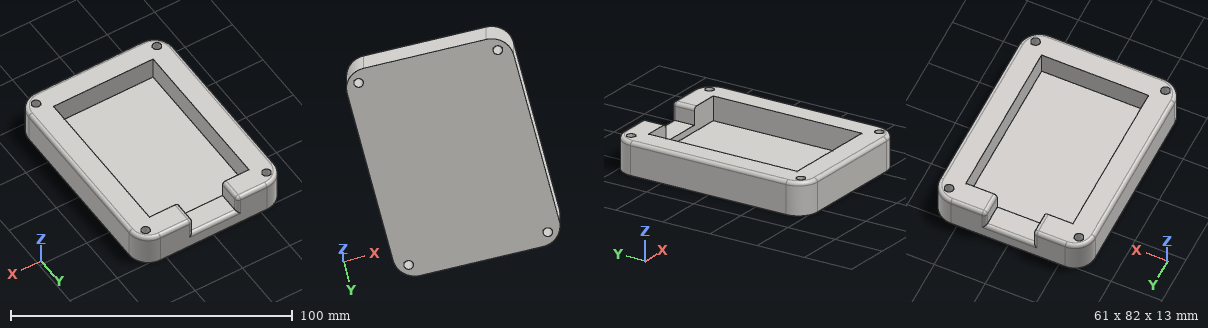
import cadquery as cq

width = 61.0
length = 82.0
height = 13.0
corner_radius = 8.0
edge_radius = 1.5

pocket_width = 42.0
pocket_length = 63.0
pocket_depth = 9.5

notch_width = 18.5
notch_depth = 7.0
notch_centre_x = -0.6
notch_reach = (length - pocket_length) / 2

hole_diameter = 3.4
hole_inset = 5.0

tolerance = 0.1


def make_body():
    """Rounded block with the notch cut through its +Y wall, still with sharp edges."""
    block = cq.Workplane("XY").box(width, length, height, centered=(True, True, False))
    return block.edges("|Z").fillet(corner_radius).cut(make_notch())


def round_outer_edges(body):
    """Round the top rim and carry the same radius round the notch."""
    rim = body.faces(">Z").edges()
    notch_mouth = body.edges(cq.selectors.BoxSelector(
        (notch_centre_x - notch_width, length / 2 - tolerance, height - notch_depth - tolerance),
        (notch_centre_x + notch_width, length / 2 + tolerance, height - tolerance),
    ))
    return rim.add(notch_mouth).fillet(edge_radius)


def make_pocket():
    return (
        cq.Workplane("XY", origin=(0, 0, height - pocket_depth))
        .rect(pocket_width, pocket_length)
        .extrude(pocket_depth)
    )


def make_notch():
    """Channel from the pocket edge out through the +Y wall."""
    return (
        cq.Workplane("XY", origin=(notch_centre_x, length / 2, height - notch_depth))
        .rect(notch_width, 2 * notch_reach)
        .extrude(notch_depth)
    )


def make_screw_holes():
    return (
        cq.Workplane("XY")
        .rect(width - 2 * hole_inset, length - 2 * hole_inset, forConstruction=True)
        .vertices()
        .circle(hole_diameter / 2)
        .extrude(height)
    )


result = round_outer_edges(make_body()).cut(make_pocket()).cut(make_screw_holes())